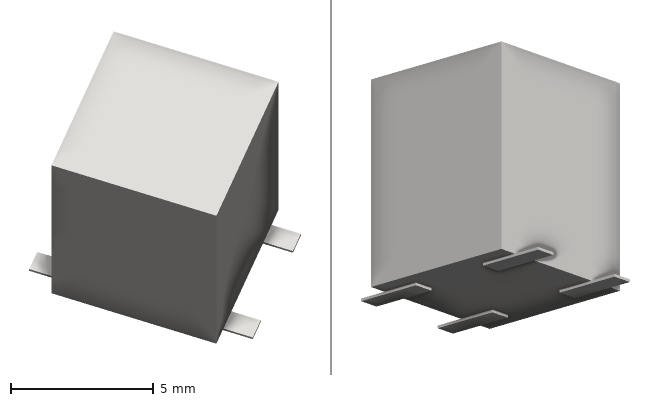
import cadquery as cq

overall_length = 8.4
overall_height = 7.8
body_side = 6.2

lead_length = 2.6
lead_width = 0.8
lead_thickness = 0.1
lead_pitch = 4.0

body_height = overall_height - lead_thickness
lead_centre_x = (overall_length - lead_length) / 2


def make_body():
    """Square block standing on top of the leads."""
    return (
        cq.Workplane("XY")
        .workplane(offset=lead_thickness)
        .rect(body_side, body_side)
        .extrude(body_height)
    )


def make_lead(x_side, y_side):
    """Flat strip reaching out from under the body; each side is -1 or +1."""
    return (
        cq.Workplane("XY")
        .center(x_side * lead_centre_x, y_side * lead_pitch / 2)
        .rect(lead_length, lead_width)
        .extrude(lead_thickness)
    )


body = make_body()
leads = [make_lead(x_side, y_side) for x_side in (-1, 1) for y_side in (-1, 1)]

result = cq.Compound.makeCompound([body.val(), *[lead.val() for lead in leads]])